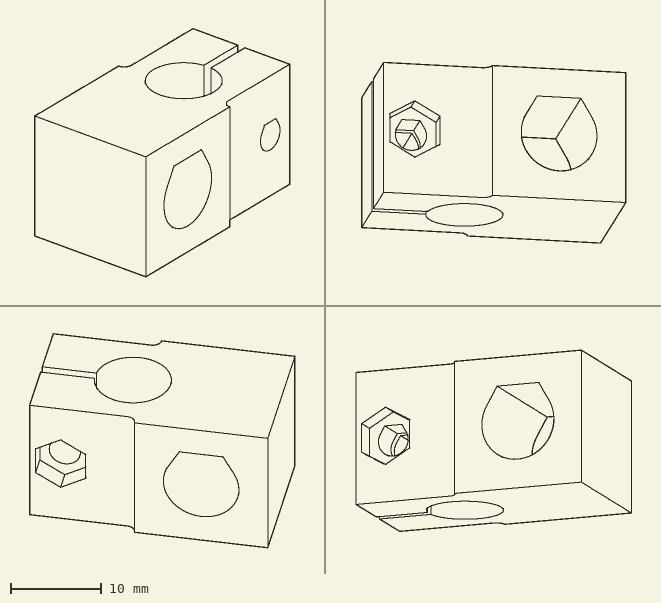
import cadquery as cq
import math

WIDTH = 15.6
LENGTH = 27.0
HEIGHT = 15.0
JAW_WIDTH = 13.6
STEP = (WIDTH - JAW_WIDTH) / 2
BASE_LENGTH = 15.0

ROD_DIAMETER = 8.5
CROSS_ROD_Y = BASE_LENGTH / 2
VERTICAL_ROD_Y = 16.7
SLOT_WIDTH = 1.0

SCREW_DIAMETER = 3.5
SCREW_Y = 23.5
NUT_CORNER_DIAMETER = 6.5
NUT_DEPTH = 2.4

ROOF_TILT = math.radians(30)

MID_HEIGHT = HEIGHT / 2


def block():
    """Stepped outline, with a concave quarter round of the step's size on each side."""
    half_base = WIDTH / 2
    half_jaw = JAW_WIDTH / 2
    fillet_end_y = BASE_LENGTH + STEP
    return (
        cq.Workplane("XY")
        .moveTo(-half_base, 0)
        .lineTo(half_base, 0)
        .lineTo(half_base, BASE_LENGTH)
        .radiusArc((half_jaw, fillet_end_y), STEP)
        .lineTo(half_jaw, LENGTH)
        .lineTo(-half_jaw, LENGTH)
        .lineTo(-half_jaw, fillet_end_y)
        .radiusArc((-half_base, BASE_LENGTH), STEP)
        .close()
        .extrude(HEIGHT)
    )


def side_plane(x, y):
    """Plane facing +X, centred at mid height: its local axes are Y and Z."""
    return cq.Workplane("YZ", origin=(x, y, MID_HEIGHT))


def flat_top_bore(diameter, y):
    """Bore along X whose roof is a flat joined to the circle by tangents."""
    radius = diameter / 2
    half_flat = radius * math.tan(ROOF_TILT)
    tangent_y = radius * math.cos(ROOF_TILT)
    tangent_z = radius * math.sin(ROOF_TILT)
    return (
        side_plane(-WIDTH / 2, y)
        .moveTo(tangent_y, tangent_z)
        .lineTo(half_flat, radius)
        .lineTo(-half_flat, radius)
        .lineTo(-tangent_y, tangent_z)
        .threePointArc((0, -radius), (tangent_y, tangent_z))
        .close()
        .extrude(WIDTH)
    )


def vertical_bore():
    return (
        cq.Workplane("XY")
        .center(0, VERTICAL_ROD_Y)
        .circle(ROD_DIAMETER / 2)
        .extrude(HEIGHT)
    )


def clamp_slot():
    """Slit from the vertical bore out through the back face."""
    slot_length = LENGTH - VERTICAL_ROD_Y
    return (
        cq.Workplane("XY")
        .center(0, VERTICAL_ROD_Y + slot_length / 2)
        .rect(SLOT_WIDTH, slot_length)
        .extrude(HEIGHT)
    )


def nut_trap():
    """Hexagonal pocket with corners pointing up and down."""
    return (
        side_plane(-JAW_WIDTH / 2, SCREW_Y)
        .transformed(rotate=(0, 0, 90))
        .polygon(6, NUT_CORNER_DIAMETER)
        .extrude(NUT_DEPTH)
    )


result = (
    block()
    .cut(vertical_bore())
    .cut(clamp_slot())
    .cut(flat_top_bore(ROD_DIAMETER, CROSS_ROD_Y))
    .cut(flat_top_bore(SCREW_DIAMETER, SCREW_Y))
    .cut(nut_trap())
)